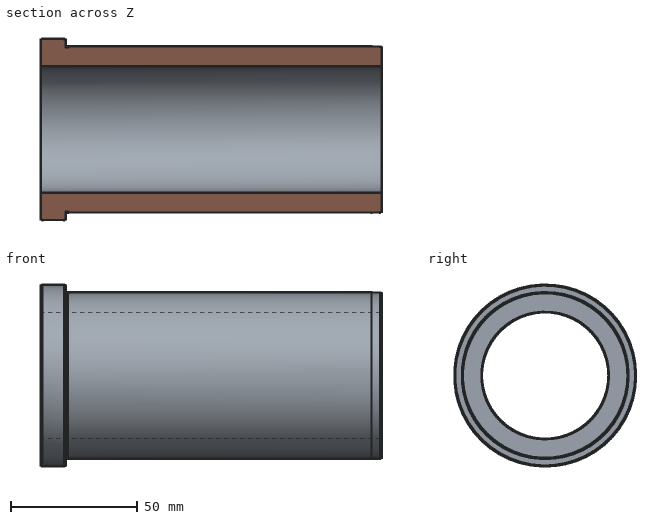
import cadquery as cq

length = 135.0
bore_radius = 50.0 / 2
body_radius = 66.0 / 2
flange_radius = 72.0 / 2
flange_width = 10.0

bevel_length = 0.8
bevel_depth = 0.4
bore_bevel = 0.3
groove_width = 1.0
groove_depth = 0.4

lead_length = 4.2
lead_step = 0.07

x_flange_face = -length / 2
x_shoulder = x_flange_face + flange_width
x_groove_end = x_shoulder + groove_width
x_end = length / 2
x_lead = x_end - lead_length
groove_radius = body_radius - groove_depth
lead_radius = body_radius - lead_step

half_section = (
    cq.Workplane("XY")
    .moveTo(x_flange_face + bore_bevel, bore_radius)
    .lineTo(x_flange_face, bore_radius + bore_bevel)
    .lineTo(x_flange_face, flange_radius - bevel_depth)
    .lineTo(x_flange_face + bevel_length, flange_radius)
    .lineTo(x_shoulder - bevel_length, flange_radius)
    .lineTo(x_shoulder, flange_radius - bevel_depth)
    .lineTo(x_shoulder, groove_radius)
    .lineTo(x_groove_end, groove_radius)
    .lineTo(x_groove_end, body_radius)
    .lineTo(x_lead, body_radius)
    .lineTo(x_lead, lead_radius)
    .lineTo(x_end - bevel_length, lead_radius)
    .lineTo(x_end, lead_radius - bevel_depth)
    .lineTo(x_end, bore_radius + bore_bevel)
    .lineTo(x_end - bore_bevel, bore_radius)
    .close()
)

result = half_section.revolve(360, (0, 0, 0), (1, 0, 0))